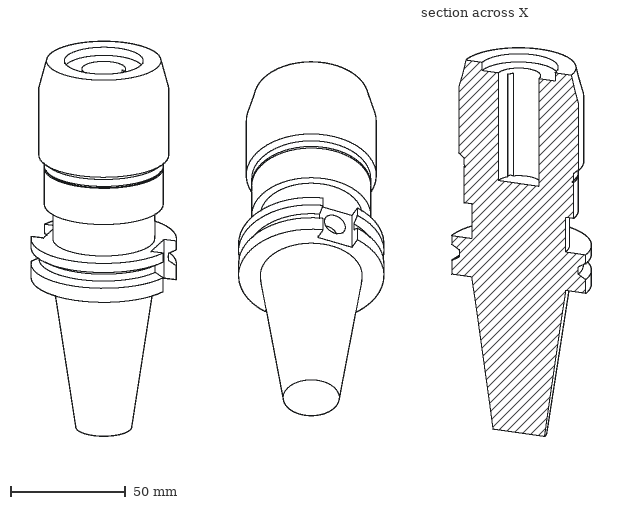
import cadquery as cq
import math

TOTAL_HEIGHT = 169.85
TAPER_LENGTH = 68.25
GAUGE_RADIUS = 44.45 / 2
TAPER_RATIO = 7 / 24
TAPER_END_RADIUS = GAUGE_RADIUS - TAPER_LENGTH * TAPER_RATIO / 2

FLANGE_RADIUS = 63.5 / 2
FLANGE_BOTTOM = TAPER_LENGTH + 1.0
FLANGE_TOP = TAPER_LENGTH + 19.05
GROOVE_RADIUS = 28.2
GROOVE_CENTER = TAPER_LENGTH + 11.18
GROOVE_FLOOR_HALF_WIDTH = 1.6
GROOVE_FLANK_ANGLE = 30.0
GROOVE_FLANK_SLOPE = math.tan(math.radians(GROOVE_FLANK_ANGLE))
GROOVE_FLANK_HEIGHT = (FLANGE_RADIUS - GROOVE_RADIUS) * GROOVE_FLANK_SLOPE
GROOVE_MOUTH_HALF_WIDTH = GROOVE_FLOOR_HALF_WIDTH + GROOVE_FLANK_HEIGHT

NECK_RADIUS = 22.25
SLEEVE_RADIUS = 26.0
SLEEVE_BOTTOM = TOTAL_HEIGHT - 66.6
RING_GROOVE_RADIUS = 25.2
RING_GROOVE_BOTTOM = TOTAL_HEIGHT - 49.8
RING_GROOVE_TOP = TOTAL_HEIGHT - 48.9
COLLAR_RADIUS = 28.4
COLLAR_BOTTOM = TOTAL_HEIGHT - 45.7
COLLAR_CHAMFER_HEIGHT = 1.9
NOSE_RADIUS = 25.0
NOSE_HEIGHT = 13.0

RECESS_RADIUS = 17.2
RECESS_DEPTH = 3.8
BORE_RADIUS = 9.525
BORE_DEPTH = 50.0

BORE_GROOVE_RADIUS = 1.3
BORE_GROOVE_ANGLE = 45.0
BORE_GROOVE_START = 2.4

SLOT_WIDTH = 16.38
SLOT_FLOOR = 25.0
SLOT_HOLE_RADIUS = 5.0
SLOT_HOLE_DEPTH = 8.0


def make_body():
    """Turned outside shape: taper, flange, neck, sleeve and collar."""
    return (
        cq.Workplane("XZ")
        .lineTo(TAPER_END_RADIUS, 0)
        .lineTo(GAUGE_RADIUS, TAPER_LENGTH)
        .lineTo(GAUGE_RADIUS, FLANGE_BOTTOM)
        .lineTo(FLANGE_RADIUS, FLANGE_BOTTOM)
        .lineTo(FLANGE_RADIUS, GROOVE_CENTER - GROOVE_MOUTH_HALF_WIDTH)
        .lineTo(GROOVE_RADIUS, GROOVE_CENTER - GROOVE_FLOOR_HALF_WIDTH)
        .lineTo(GROOVE_RADIUS, GROOVE_CENTER + GROOVE_FLOOR_HALF_WIDTH)
        .lineTo(FLANGE_RADIUS, GROOVE_CENTER + GROOVE_MOUTH_HALF_WIDTH)
        .lineTo(FLANGE_RADIUS, FLANGE_TOP)
        .lineTo(NECK_RADIUS, FLANGE_TOP)
        .lineTo(NECK_RADIUS, SLEEVE_BOTTOM)
        .lineTo(SLEEVE_RADIUS, SLEEVE_BOTTOM)
        .lineTo(SLEEVE_RADIUS, RING_GROOVE_BOTTOM)
        .lineTo(RING_GROOVE_RADIUS, RING_GROOVE_BOTTOM)
        .lineTo(SLEEVE_RADIUS, RING_GROOVE_TOP)
        .lineTo(SLEEVE_RADIUS, COLLAR_BOTTOM)
        .lineTo(COLLAR_RADIUS, COLLAR_BOTTOM + COLLAR_CHAMFER_HEIGHT)
        .lineTo(COLLAR_RADIUS, TOTAL_HEIGHT - NOSE_HEIGHT)
        .lineTo(NOSE_RADIUS, TOTAL_HEIGHT)
        .lineTo(0, TOTAL_HEIGHT)
        .close()
        .revolve(360, (0, 0), (0, 1))
    )


def downward_cylinder(radius, top, depth):
    """Cylinder on the spindle axis that reaches down from a given height."""
    return cq.Workplane("XY").workplane(offset=top).circle(radius).extrude(-depth)


def make_bore_groove():
    """Round groove in the bore wall, from just below the rim to the bore floor."""
    angle = math.radians(BORE_GROOVE_ANGLE)
    return (
        cq.Workplane("XY")
        .workplane(offset=TOTAL_HEIGHT - RECESS_DEPTH - BORE_DEPTH)
        .center(BORE_RADIUS * math.cos(angle), BORE_RADIUS * math.sin(angle))
        .circle(BORE_GROOVE_RADIUS)
        .extrude(BORE_DEPTH - BORE_GROOVE_START)
    )


def make_drive_slot(side):
    """Slot through the flange height on the side (-1 or +1) of X."""
    length = FLANGE_RADIUS - SLOT_FLOOR
    return (
        cq.Workplane("XY")
        .box(length, SLOT_WIDTH, FLANGE_TOP - FLANGE_BOTTOM)
        .translate((side * (SLOT_FLOOR + length / 2), 0, (FLANGE_TOP + FLANGE_BOTTOM) / 2))
    )


def make_slot_hole():
    """Blind radial hole in the floor of the -X slot."""
    return (
        cq.Workplane("YZ")
        .workplane(offset=-SLOT_FLOOR)
        .center(0, GROOVE_CENTER)
        .circle(SLOT_HOLE_RADIUS)
        .extrude(SLOT_HOLE_DEPTH)
    )


result = make_body()
result = result.cut(downward_cylinder(RECESS_RADIUS, TOTAL_HEIGHT, RECESS_DEPTH))
result = result.cut(downward_cylinder(BORE_RADIUS, TOTAL_HEIGHT - RECESS_DEPTH, BORE_DEPTH))
result = result.cut(make_bore_groove())
for side in (-1, 1):
    result = result.cut(make_drive_slot(side))
result = result.cut(make_slot_hole())